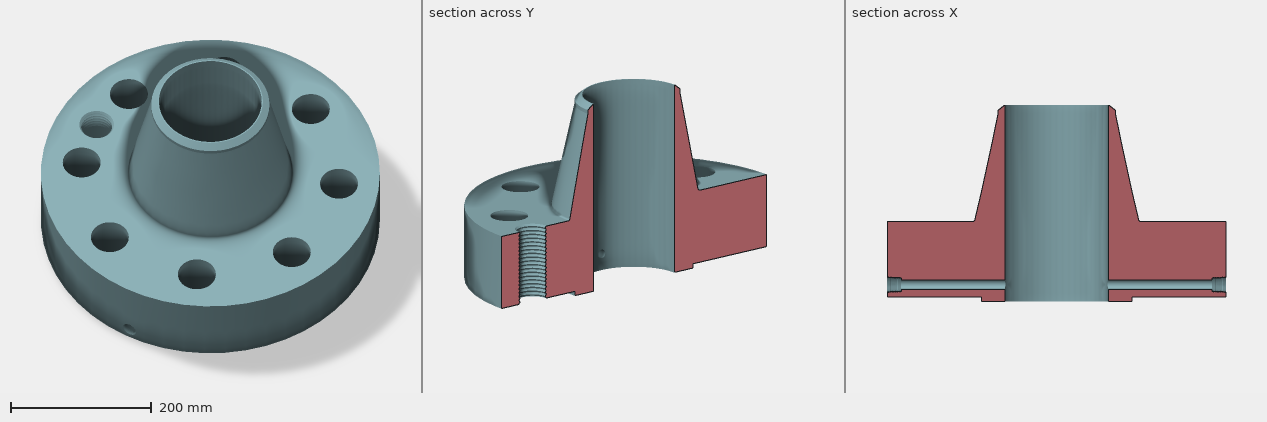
import cadquery as cq
import math

FLANGE_DIAMETER = 482.6
FLANGE_THICKNESS = 107.95
RAISED_FACE_DIAMETER = 215.9
RAISED_FACE_HEIGHT = 6.35
TOTAL_HEIGHT = 279.4

HUB_BASE_DIAMETER = 235.0
HUB_BASE_FILLET = 3.0
PIPE_DIAMETER = 168.3
PIPE_WALL = 10.97
PIPE_LENGTH = 5.7
ROOT_FACE = 1.6
WELD_BEVEL_ANGLE = 37.5

BOLT_CIRCLE_DIAMETER = 368.3
BOLT_HOLE_COUNT = 8
BOLT_HOLE_DIAMETER = 54.0

JACKSCREW_DIAMETER = 49.2
JACKSCREW_MINOR_DIAMETER = 44.7
JACKSCREW_PITCH = 25.4 / 4.5

TAP_HEIGHT = 24.0
TAP_DRILL_DIAMETER = 12.7
TAP_THREAD_DIAMETER = 21.3
TAP_MINOR_DIAMETER = 18.4
TAP_PITCH = 25.4 / 14
TAP_THREAD_COUNT = 11
TAP_TAPER = 1 / 16

FLANGE_RADIUS = FLANGE_DIAMETER / 2
FLANGE_TOP = RAISED_FACE_HEIGHT + FLANGE_THICKNESS
PIPE_RADIUS = PIPE_DIAMETER / 2
BORE_RADIUS = PIPE_RADIUS - PIPE_WALL
BOLT_CIRCLE_RADIUS = BOLT_CIRCLE_DIAMETER / 2


def flange_body():
    """Revolve the flange, hub and beveled weld end as one body around Z."""
    bevel_width = PIPE_WALL - ROOT_FACE
    bevel_height = bevel_width * math.tan(math.radians(WELD_BEVEL_ANGLE))
    bevel_start = TOTAL_HEIGHT - bevel_height
    body = (
        cq.Workplane("XZ")
        .moveTo(BORE_RADIUS, 0)
        .lineTo(RAISED_FACE_DIAMETER / 2, 0)
        .lineTo(RAISED_FACE_DIAMETER / 2, RAISED_FACE_HEIGHT)
        .lineTo(FLANGE_RADIUS, RAISED_FACE_HEIGHT)
        .lineTo(FLANGE_RADIUS, FLANGE_TOP)
        .lineTo(HUB_BASE_DIAMETER / 2, FLANGE_TOP)
        .lineTo(PIPE_RADIUS, bevel_start - PIPE_LENGTH)
        .lineTo(PIPE_RADIUS, bevel_start)
        .lineTo(BORE_RADIUS + ROOT_FACE, TOTAL_HEIGHT)
        .lineTo(BORE_RADIUS, TOTAL_HEIGHT)
        .close()
        .revolve(360, (0, 0, 0), (0, 1, 0))
    )
    reach = HUB_BASE_DIAMETER / 2 + HUB_BASE_FILLET
    hub_base = cq.selectors.BoxSelector(
        (-reach, -reach, FLANGE_TOP - HUB_BASE_FILLET),
        (reach, reach, FLANGE_TOP + HUB_BASE_FILLET),
        boundingbox=True,
    )
    return body.edges(hub_base).fillet(HUB_BASE_FILLET)


def bolt_holes():
    half_step = 180 / BOLT_HOLE_COUNT
    return (
        cq.Workplane("XY")
        .polarArray(BOLT_CIRCLE_RADIUS, half_step, 360, BOLT_HOLE_COUNT)
        .circle(BOLT_HOLE_DIAMETER / 2)
        .extrude(FLANGE_TOP)
    )


def thread_cutter(major_diameter, minor_diameter, pitch, thread_count, taper=0.0):
    """Thread simplified to ring grooves around Z, running down from a mouth of major diameter at Z = 0.

    The taper is the loss of diameter per unit of depth.
    """
    profile = cq.Workplane("XZ").lineTo(major_diameter / 2, 0)
    for turn in range(thread_count):
        crest_depth = (turn + 0.5) * pitch
        root_depth = (turn + 1) * pitch
        profile = profile.lineTo((minor_diameter - taper * crest_depth) / 2, -crest_depth)
        profile = profile.lineTo((major_diameter - taper * root_depth) / 2, -root_depth)
    thread_length = thread_count * pitch
    return profile.lineTo(0, -thread_length).close().revolve(360, (0, 0, 0), (0, 1, 0))


def jackscrew_hole():
    thread_count = math.ceil(FLANGE_THICKNESS / JACKSCREW_PITCH)
    thread = thread_cutter(JACKSCREW_DIAMETER, JACKSCREW_MINOR_DIAMETER, JACKSCREW_PITCH, thread_count)
    return thread.translate((-BOLT_CIRCLE_RADIUS, 0, FLANGE_TOP))


def pressure_tap():
    """Tap opening on the -Y side of the rim."""
    thread = thread_cutter(
        TAP_THREAD_DIAMETER, TAP_MINOR_DIAMETER, TAP_PITCH, TAP_THREAD_COUNT, TAP_TAPER
    )
    drill = cq.Workplane("XY").circle(TAP_DRILL_DIAMETER / 2).extrude(-FLANGE_RADIUS)
    tap = thread.union(drill)
    return tap.rotate((0, 0, 0), (1, 0, 0), 90).translate((0, -FLANGE_RADIUS, TAP_HEIGHT))


result = flange_body().cut(bolt_holes()).cut(jackscrew_hole())
for tap_angle in (0, 180):
    result = result.cut(pressure_tap().rotate((0, 0, 0), (0, 0, 1), tap_angle))